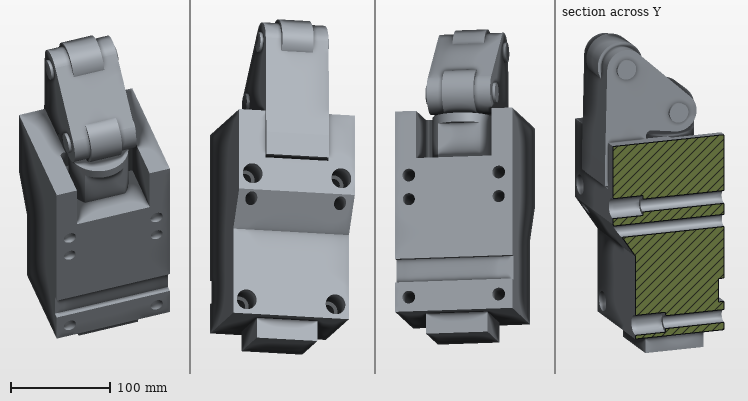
import cadquery as cq
import math

TOTAL_HEIGHT = 324.5

WIDTH = 120.0
BOSS_HEIGHT = 20.5
BOSS_SIDE = 63.0
PISTON_X = 72.3
LEFT_STEP = 24.3
STEP_BOTTOM = 107.5
STEP_TOP = 143.5
NOTCH_DEPTH = 6.0
NOTCH_BOTTOM = 50.5
NOTCH_HEIGHT = 24.0

FLOOR_Z = 177.0
LEVER_WIDTH = 65.2
POCKET_START = 65.0
POCKET_WIDTH = 77.2
POCKET_CORNER_RADIUS = 4.0

HOLE_OFFSET = 46.0
BOLT_HEIGHTS = (35.0, 160.0)
BOLT_DIAMETER = 13.0
COUNTERBORE_DIAMETER = 20.5
COUNTERBORE_DEPTH = 32.5
PIN_HOLE_HEIGHT = 135.3
PIN_HOLE_DIAMETER = 12.3

ROLLER_RADIUS = 24.0
ROLLER_DROP = 51.0
UPPER_X = 19.5
LOWER_X = 75.5
UPPER_Z = TOTAL_HEIGHT - ROLLER_RADIUS
LOWER_Z = UPPER_Z - ROLLER_DROP
ARM_RADIUS = 20.0
ARM_LEFT = -3.0
ARM_RIGHT = 41.2
ARM_BOTTOM = 180.0
ARM_BEND_Z = 203.0
NOSE_ANGLE = 8.5
ARM_CORNER_RADIUS = 5.5
ROLLER_WIDTH = 32.5
PIN_DIAMETER = 20.0
PIN_LENGTH = 71.5

PISTON_RADIUS = 30.2
PISTON_FLAT = 21.5
HEAD_HEIGHT = 9.0

HOUSING_TOP = LOWER_Z - ROLLER_RADIUS


def box_between(x_min, x_max, width, z_min, z_max):
    """Block symmetric about Y = 0."""
    size_x = x_max - x_min
    size_z = z_max - z_min
    block = cq.Workplane("XY").box(size_x, width, size_z, centered=(False, True, False))
    return block.translate((x_min, 0, z_min))


def cylinder_along_y(x, z, radius, length):
    """Cylinder with a Y axis, symmetric about Y = 0."""
    return cq.Workplane("XZ").center(x, z).circle(radius).extrude(length / 2, both=True)


def cross_hole(y, z, diameter, start, depth):
    """Cylindrical cutter running in +X."""
    return cq.Workplane("YZ", origin=(start, y, z)).circle(diameter / 2).extrude(depth)


def make_housing():
    """Block with a base boss, a rear notch, a slotted top and stepped cross holes."""
    outline = [
        (LEFT_STEP, BOSS_HEIGHT),
        (WIDTH, BOSS_HEIGHT),
        (WIDTH, NOTCH_BOTTOM),
        (WIDTH - NOTCH_DEPTH, NOTCH_BOTTOM),
        (WIDTH - NOTCH_DEPTH, NOTCH_BOTTOM + NOTCH_HEIGHT),
        (WIDTH, NOTCH_BOTTOM + NOTCH_HEIGHT),
        (WIDTH, HOUSING_TOP),
        (0, HOUSING_TOP),
        (0, STEP_TOP),
        (LEFT_STEP, STEP_BOTTOM),
    ]
    body = cq.Workplane("XZ").polyline(outline).close().extrude(WIDTH / 2, both=True)

    boss_left = PISTON_X - BOSS_SIDE / 2
    body = body.union(box_between(boss_left, boss_left + BOSS_SIDE, BOSS_SIDE, 0, BOSS_HEIGHT))

    slot = box_between(0, POCKET_START, LEVER_WIDTH, FLOOR_Z, HOUSING_TOP)
    pocket = box_between(POCKET_START, WIDTH, POCKET_WIDTH, FLOOR_Z, HOUSING_TOP)
    pocket = pocket.edges("|Z and <X and <Y").fillet(POCKET_CORNER_RADIUS)
    body = body.cut(slot).cut(pocket)

    for side in (-1, 1):
        y = side * HOLE_OFFSET
        for z, face_x in zip(BOLT_HEIGHTS, (LEFT_STEP, 0)):
            body = body.cut(cross_hole(y, z, BOLT_DIAMETER, face_x, WIDTH))
            body = body.cut(cross_hole(y, z, COUNTERBORE_DIAMETER, face_x, COUNTERBORE_DEPTH))
        body = body.cut(cross_hole(y, PIN_HOLE_HEIGHT, PIN_HOLE_DIAMETER, 0, WIDTH))
    return body


def on_arm_arc(x, z, degrees):
    """Point of an arm end arc centred on (x, z)."""
    angle = math.radians(degrees)
    return (x + ARM_RADIUS * math.cos(angle), z + ARM_RADIUS * math.sin(angle))


def make_lever():
    """Bell-crank arm in one piece with its two rollers and their axle pins."""
    back_run = UPPER_X - ARM_LEFT
    back_rise = UPPER_Z - ARM_BEND_Z
    back_reach = math.hypot(back_run, back_rise)
    towards_bend = math.degrees(math.atan2(-back_rise, -back_run))
    back_tangent = towards_bend - math.degrees(math.acos(ARM_RADIUS / back_reach))
    top_tangent = math.degrees(math.atan2(LOWER_X - UPPER_X, ROLLER_DROP))
    nose_tangent = -90 - NOSE_ANGLE

    nose_end = on_arm_arc(LOWER_X, LOWER_Z, nose_tangent)
    nose_rise = (nose_end[0] - ARM_RIGHT) * math.tan(math.radians(NOSE_ANGLE))
    inner_corner = (ARM_RIGHT, nose_end[1] + nose_rise)

    arm = (
        cq.Workplane("XZ")
        .moveTo(ARM_LEFT, ARM_BOTTOM)
        .lineTo(ARM_LEFT, ARM_BEND_Z)
        .lineTo(*on_arm_arc(UPPER_X, UPPER_Z, back_tangent))
        .threePointArc(
            on_arm_arc(UPPER_X, UPPER_Z, 90),
            on_arm_arc(UPPER_X, UPPER_Z, top_tangent),
        )
        .lineTo(*on_arm_arc(LOWER_X, LOWER_Z, top_tangent))
        .threePointArc(on_arm_arc(LOWER_X, LOWER_Z, 0), nose_end)
        .lineTo(*inner_corner)
        .lineTo(ARM_RIGHT, ARM_BOTTOM)
        .close()
        .extrude(LEVER_WIDTH / 2, both=True)
    )
    corner = cq.selectors.NearestToPointSelector((inner_corner[0], 0, inner_corner[1]))
    arm = arm.edges("|Y").edges(corner).fillet(ARM_CORNER_RADIUS)

    for x, z in ((UPPER_X, UPPER_Z), (LOWER_X, LOWER_Z)):
        arm = arm.union(cylinder_along_y(x, z, ROLLER_RADIUS, ROLLER_WIDTH))
        arm = arm.union(cylinder_along_y(x, z, PIN_DIAMETER / 2, PIN_LENGTH))
    return arm


def make_piston():
    """Round head on a shank with two opposite flats, standing on the pocket floor."""
    height = HOUSING_TOP - FLOOR_Z
    piston = cq.Workplane("XY", origin=(PISTON_X, 0, FLOOR_Z)).circle(PISTON_RADIUS).extrude(height)
    head_bottom = HOUSING_TOP - HEAD_HEIGHT
    for side in (-1, 1):
        x_min, x_max = sorted((PISTON_X + side * PISTON_FLAT, PISTON_X + side * PISTON_RADIUS))
        piston = piston.cut(box_between(x_min, x_max, 2 * PISTON_RADIUS, FLOOR_Z, head_bottom))
    return piston


housing = make_housing()
lever = make_lever()
piston = make_piston()

result = cq.Compound.makeCompound([housing.val(), lever.val(), piston.val()])